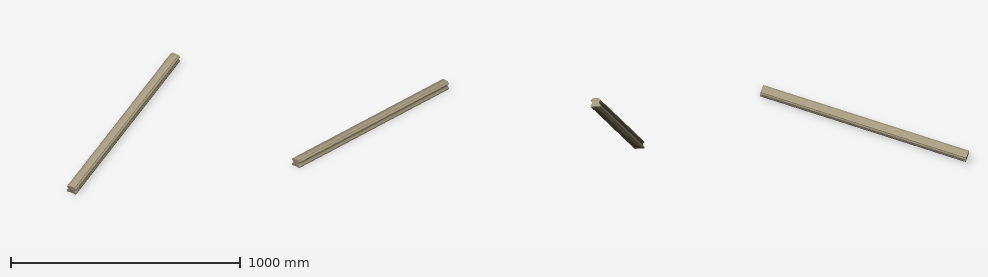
import cadquery as cq

length = 945.0
width = 45.0
height = 38.0
half_width = width / 2

base_chamfer = 1.5
base_side_top = 7.5

recess_half_width = 14.8
recess_floor_half_width = 10.8
recess_depth = 1.4

waist_half_width = 14.5
waist_bottom = base_side_top + half_width - waist_half_width
waist_top = 19.4

head_side_bottom = 27.4
head_side_top = 29.9
lower_raceway_rise = 3.3
upper_raceway_rise = 3.1

top_half_width = 14.5
top_chamfer = 1.0

lower_groove_depth = 1.5
upper_groove_depth = 1.3

lower_raceway_end = (half_width - lower_raceway_rise, head_side_bottom - lower_raceway_rise)
upper_raceway_end = (half_width - upper_raceway_rise, head_side_top + upper_raceway_rise)
top_chamfer_end = (top_half_width + top_chamfer, height - top_chamfer)


def mirrored(point):
    """The same corner on the left side of the rail."""
    x, z = point
    return (-x, z)


def rail_profile():
    """Closed outline in the XZ plane, running counterclockwise from the left end of the underside."""
    return (
        cq.Workplane("XZ")
        .moveTo(-half_width + base_chamfer, 0)
        .lineTo(-recess_half_width, 0)
        .lineTo(-recess_floor_half_width, recess_depth)
        .lineTo(recess_floor_half_width, recess_depth)
        .lineTo(recess_half_width, 0)
        .lineTo(half_width - base_chamfer, 0)
        .lineTo(half_width, base_chamfer)
        .lineTo(half_width, base_side_top)
        .lineTo(waist_half_width, waist_bottom)
        .lineTo(waist_half_width, waist_top)
        .sagittaArc(lower_raceway_end, lower_groove_depth)
        .lineTo(half_width, head_side_bottom)
        .lineTo(half_width, head_side_top)
        .lineTo(*upper_raceway_end)
        .sagittaArc(top_chamfer_end, upper_groove_depth)
        .lineTo(top_half_width, height)
        .lineTo(-top_half_width, height)
        .lineTo(*mirrored(top_chamfer_end))
        .sagittaArc(mirrored(upper_raceway_end), upper_groove_depth)
        .lineTo(-half_width, head_side_top)
        .lineTo(-half_width, head_side_bottom)
        .lineTo(*mirrored(lower_raceway_end))
        .sagittaArc((-waist_half_width, waist_top), lower_groove_depth)
        .lineTo(-waist_half_width, waist_bottom)
        .lineTo(-half_width, base_side_top)
        .lineTo(-half_width, base_chamfer)
        .close()
    )


result = rail_profile().extrude(length / 2, both=True)